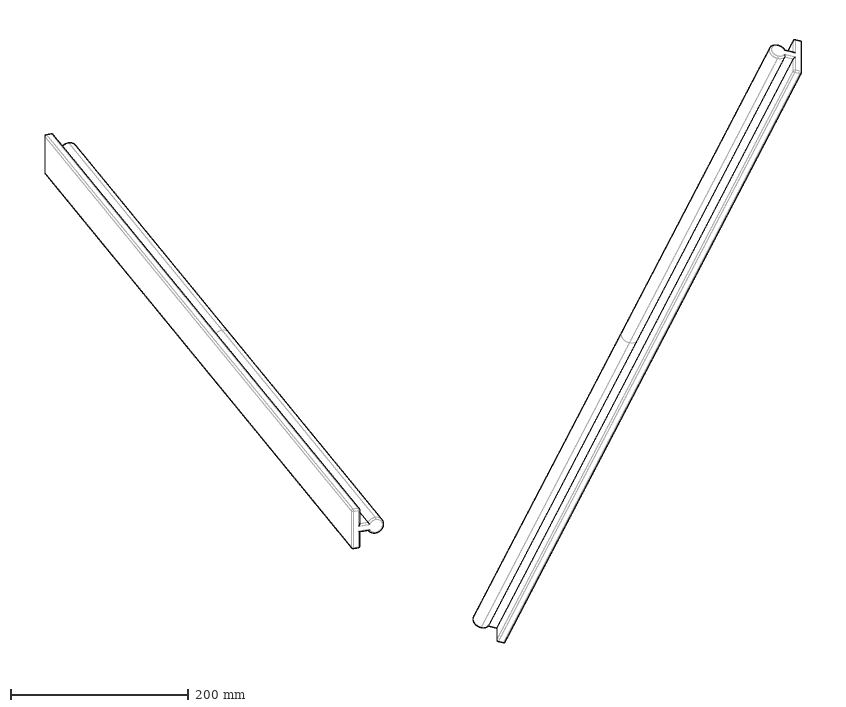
import cadquery as cq
import math

length = 1000.0
plate_height = 50.0
plate_thickness = 10.0
web_length = 10.0
web_thickness = 10.0
rod_radius = 10.0
edge_radius = 2.0

half_web = web_thickness / 2
chord_offset = math.sqrt(rod_radius**2 - half_web**2)
depth = plate_thickness + web_length + chord_offset + rod_radius

plate_front = -depth / 2
plate_back = plate_front + plate_thickness
rod_center = depth / 2 - rod_radius
web_end = rod_center - chord_offset


def make_plate():
    """Flat plate with its four long edges rounded."""
    plate_center = (plate_front + plate_back) / 2
    plate = cq.Workplane("XY").box(length, plate_thickness, plate_height)
    plate = plate.translate((0, plate_center, 0))
    return plate.edges("|X").fillet(edge_radius)


def rod_point(angle):
    """Point (y, z) on the rod surface, with the angle in degrees from +Y."""
    turn = math.radians(angle)
    return (rod_center + rod_radius * math.cos(turn), rod_radius * math.sin(turn))


def make_web_and_rod():
    """Round rod on a flat web, its surface split into arcs at the rod's top and bottom."""
    profile = (
        cq.Workplane("YZ")
        .moveTo(plate_back, half_web)
        .lineTo(web_end, half_web)
        .threePointArc(rod_point(135), rod_point(90))
        .threePointArc(rod_point(0), rod_point(-90))
        .threePointArc(rod_point(-135), (web_end, -half_web))
        .lineTo(plate_back, -half_web)
        .close()
    )
    return profile.extrude(length / 2, both=True)


def round_ends(body):
    """Round the outline of both end faces."""
    return body.faces("<X or >X").edges().fillet(edge_radius)


result = round_ends(make_plate().union(make_web_and_rod()))